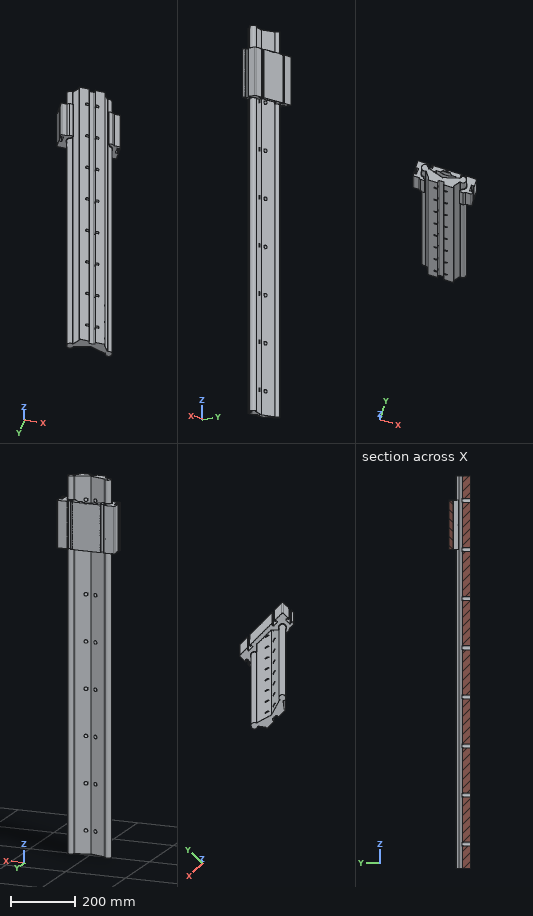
import cadquery as cq


RAIL_LENGTH = 1219.0
SHAFT_OFFSET = 62.0
SHAFT_RADIUS = 10.7
NECK_HALF_WIDTH = 55.0
NECK_TOP_Y = 1.0
NECK_BOTTOM_Y = -10.0
VALLEY_HALF_WIDTH = 49.0
VALLEY_Y = -13.0
FOOT_HALF_WIDTH = 41.0
FOOT_TOP_Y = -28.0
FOOT_Y = -34.0

GROOVE_WIDTH = 20.0
GROOVE_DEPTH = 9.0
GROOVE_CORNER_RADIUS = 4.0

HOLE_PAIRS = 8
HOLE_OFFSET = 16.0
HOLE_DIAMETER = 11.0
HOLE_PITCH = RAIL_LENGTH / HOLE_PAIRS

CARRIAGE_LENGTH = 154.0
CARRIAGE_MIDDLE_Z = RAIL_LENGTH - HOLE_PITCH
CARRIAGE_HALF_WIDTH = 96.0
PLATE_Y = 33.0
ARM_Y = -18.0
CORNER_RADIUS = 4.0
LIP_Y = -22.0
LIP_RADIUS = 23.0
LIP_END_X = 57.0
LIP_BEVEL = 6.0
CAVITY_Y = 20.0
CAVITY_TOP_HALF_WIDTH = 32.0
CAVITY_HALF_WIDTH = 48.0
CAVITY_BOTTOM_Y = 4.0

SLOT_OFFSET = 55.0
SLOT_MOUTH = 10.0
SLOT_WIDTH = 18.0
SLOT_LIP = 4.0
SLOT_DEPTH = 10.0

SINK_RADIUS = 18.0
SINK_FLOOR_RADIUS = 11.0
SINK_DEPTH = 7.0
SINK_BORE_RADIUS = 2.0

LINER_THICKNESS = 1.8
LINERS_PER_BORE = 2

BORE_RADIUS = SHAFT_RADIUS + LINER_THICKNESS
LINER_LENGTH = CARRIAGE_LENGTH / LINERS_PER_BORE
CARRIAGE_BOTTOM_Z = CARRIAGE_MIDDLE_Z - CARRIAGE_LENGTH / 2
CARRIAGE_TOP_Z = CARRIAGE_MIDDLE_Z + CARRIAGE_LENGTH / 2
SIDES = (-1, 1)


def prism(points, base_z, length):
    """Closed outline in X and Y, extruded along Z."""
    return cq.Workplane("XY", origin=(0, 0, base_z)).polyline(points).close().extrude(length)


def mirrored(half):
    """Outline symmetric about X = 0, from its right-hand half."""
    left = [(-x, y) for x, y in reversed(half) if x > 0]
    return half + left


def cylinders(radius, base_z, length):
    """One upright cylinder on each shaft axis."""
    centres = [(side * SHAFT_OFFSET, 0) for side in SIDES]
    return cq.Workplane("XY", origin=(0, 0, base_z)).pushPoints(centres).circle(radius).extrude(length)


def make_rail():
    web = prism(mirrored([
        (0, VALLEY_Y),
        (VALLEY_HALF_WIDTH, NECK_TOP_Y),
        (SHAFT_OFFSET, NECK_TOP_Y),
        (SHAFT_OFFSET, NECK_BOTTOM_Y),
        (NECK_HALF_WIDTH, NECK_BOTTOM_Y),
        (FOOT_HALF_WIDTH, FOOT_TOP_Y),
        (FOOT_HALF_WIDTH, FOOT_Y),
    ]), 0, RAIL_LENGTH)
    groove = (
        cq.Workplane("XY")
        .moveTo(0, FOOT_Y)
        .rect(GROOVE_WIDTH, 2 * GROOVE_DEPTH)
        .extrude(RAIL_LENGTH)
        .edges("|Z")
        .fillet(GROOVE_CORNER_RADIUS)
    )
    hole_centres = [
        (side * HOLE_OFFSET, (i + 0.5) * HOLE_PITCH)
        for i in range(HOLE_PAIRS)
        for side in SIDES
    ]
    holes = (
        cq.Workplane("XZ", origin=(0, FOOT_Y, 0))
        .pushPoints(hole_centres)
        .circle(HOLE_DIAMETER / 2)
        .extrude(FOOT_Y)
    )
    return web.union(cylinders(SHAFT_RADIUS, 0, RAIL_LENGTH)).cut(groove).cut(holes)


def t_slot(mouth_x, mouth_y, angle):
    """T-slot along the carriage; at angle 0 it opens towards +Y."""
    slot = prism(mirrored([
        (SLOT_MOUTH / 2, 0),
        (SLOT_MOUTH / 2, -SLOT_LIP),
        (SLOT_WIDTH / 2, -SLOT_LIP),
        (SLOT_WIDTH / 2, -SLOT_DEPTH),
    ]), CARRIAGE_BOTTOM_Z, CARRIAGE_LENGTH)
    return slot.rotate((0, 0, 0), (0, 0, 1), angle).translate((mouth_x, mouth_y, 0))


def make_carriage():
    block = (
        cq.Workplane("XY", origin=(0, 0, CARRIAGE_BOTTOM_Z))
        .moveTo(0, (PLATE_Y + ARM_Y) / 2)
        .rect(2 * CARRIAGE_HALF_WIDTH, PLATE_Y - ARM_Y)
        .extrude(CARRIAGE_LENGTH)
        .edges("|Z")
        .fillet(CORNER_RADIUS)
    )
    lip_box = (
        cq.Workplane("XY", origin=(0, 0, CARRIAGE_BOTTOM_Z))
        .moveTo(0, LIP_Y / 2)
        .rect(2 * CARRIAGE_HALF_WIDTH, -LIP_Y)
        .extrude(CARRIAGE_LENGTH)
    )
    lips = cylinders(LIP_RADIUS, CARRIAGE_BOTTOM_Z, CARRIAGE_LENGTH).intersect(lip_box)
    cavity = prism(mirrored([
        (CAVITY_TOP_HALF_WIDTH, CAVITY_Y),
        (CAVITY_HALF_WIDTH, CAVITY_BOTTOM_Y),
        (SHAFT_OFFSET, CAVITY_BOTTOM_Y),
        (SHAFT_OFFSET, -BORE_RADIUS),
        (LIP_END_X, -BORE_RADIUS - LIP_BEVEL),
        (LIP_END_X, LIP_Y),
    ]), CARRIAGE_BOTTOM_Z, CARRIAGE_LENGTH)
    body = block.union(lips).cut(cavity)
    body = body.cut(cylinders(BORE_RADIUS, CARRIAGE_BOTTOM_Z, CARRIAGE_LENGTH))
    for side in SIDES:
        body = body.cut(t_slot(side * SLOT_OFFSET, PLATE_Y, 0))
        body = body.cut(t_slot(side * CARRIAGE_HALF_WIDTH, 0, -side * 90))
    return body


def cut_countersink(body):
    """Half of a countersunk bore, whose axis lies in the upper end face of the carriage."""
    sink_centre = cq.Vector(0, CAVITY_Y, CARRIAGE_TOP_Z)
    outward = cq.Vector(0, 1, 0)
    sink = cq.Solid.makeCone(SINK_RADIUS, SINK_FLOOR_RADIUS, SINK_DEPTH, sink_centre, outward)
    bore = cq.Solid.makeCylinder(SINK_BORE_RADIUS, PLATE_Y - CAVITY_Y, sink_centre, outward)
    return body.cut(cq.Workplane(sink)).cut(cq.Workplane(bore))


def make_liner(side, base_z):
    """Sleeve around a shaft, open towards the web of the rail."""
    ring = (
        cq.Workplane("XY", origin=(side * SHAFT_OFFSET, 0, base_z))
        .circle(BORE_RADIUS)
        .circle(SHAFT_RADIUS)
        .extrude(LINER_LENGTH)
    )
    opening = prism([
        (0, CAVITY_BOTTOM_Y),
        (side * SHAFT_OFFSET, CAVITY_BOTTOM_Y),
        (side * SHAFT_OFFSET, -BORE_RADIUS),
        (0, -BORE_RADIUS),
    ], base_z, LINER_LENGTH)
    return ring.cut(opening)


rail = make_rail()
carriage = cut_countersink(make_carriage())
liners = [
    make_liner(side, CARRIAGE_BOTTOM_Z + i * LINER_LENGTH)
    for side in SIDES
    for i in range(LINERS_PER_BORE)
]

result = cq.Compound.makeCompound([rail.val(), carriage.val(), *[liner.val() for liner in liners]])